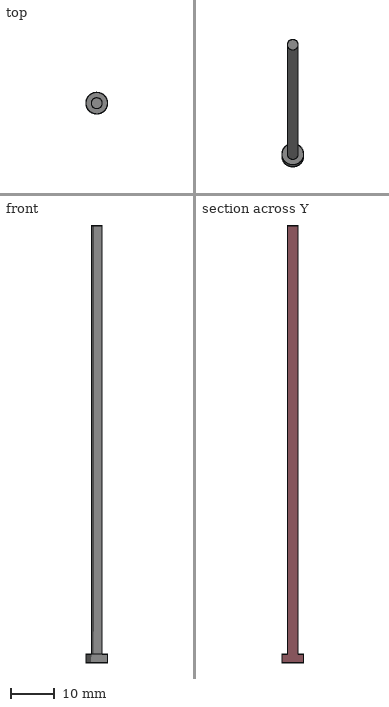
import cadquery as cq

total_length = 100.0
head_diameter = 5.0
head_height = 2.0
shank_diameter = 2.5

head = cq.Workplane("XY").circle(head_diameter / 2).extrude(head_height)
shank = cq.Workplane("XY").circle(shank_diameter / 2).extrude(total_length)

result = head.union(shank)